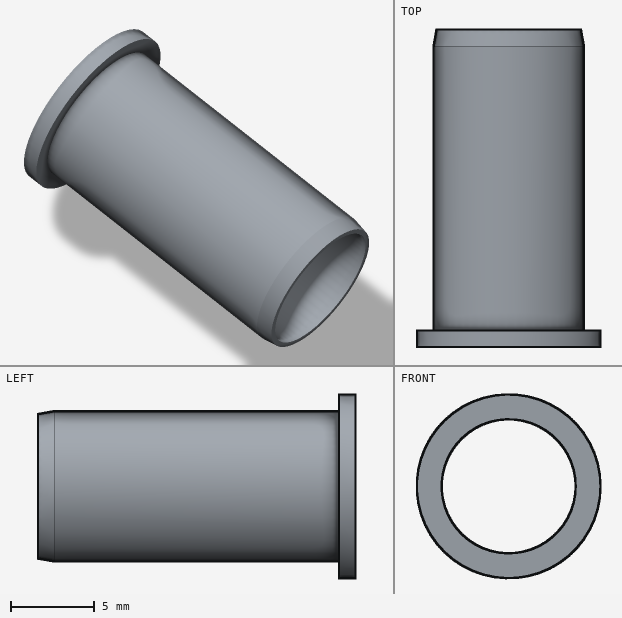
import cadquery as cq
import math

length = 19.0
flange_diameter = 11.0
flange_thickness = 1.0
tube_diameter = 9.0
bore_diameter = 8.0

taper_length = 1.0
taper_angle = 10.0

flange_radius = flange_diameter / 2
tube_radius = tube_diameter / 2
bore_radius = bore_diameter / 2
tip_radius = tube_radius - taper_length * math.tan(math.radians(taper_angle))

wall_section = (
    cq.Workplane("XY")
    .moveTo(bore_radius, 0)
    .lineTo(flange_radius, 0)
    .lineTo(flange_radius, flange_thickness)
    .lineTo(tube_radius, flange_thickness)
    .lineTo(tube_radius, length - taper_length)
    .lineTo(tip_radius, length)
    .lineTo(bore_radius, length)
    .close()
)

result = wall_section.revolve(360, (0, 0, 0), (0, 1, 0))